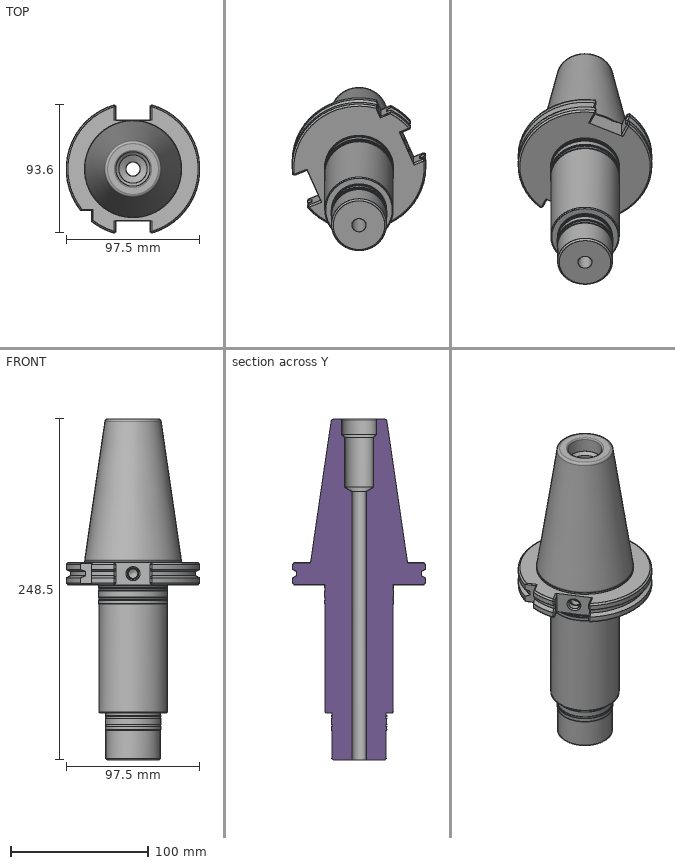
import cadquery as cq
import math

TOTAL_LENGTH = 248.5
FLANGE_TOP = 144.0
FLANGE_BOTTOM = 127.8
SHANK_BOTTOM = 34.3
FLANGE_HEIGHT = FLANGE_TOP - FLANGE_BOTTOM
FLANGE_MIDDLE = (FLANGE_TOP + FLANGE_BOTTOM) / 2

TAPER_SMALL_DIAMETER = 40.5
TAPER_RATIO = 7 / 24
TAPER_BOTTOM = 146.0
TAPER_TIP_RADIUS = 2.0
TAPER_LARGE_DIAMETER = TAPER_SMALL_DIAMETER + TAPER_RATIO * (TOTAL_LENGTH - TAPER_BOTTOM)
NECK_DIAMETER = 70.9
NECK_TOP = 145.2
FLANGE_DIAMETER = 97.5
FLANGE_CHAMFER = 1.2
SHANK_DIAMETER = 50.0
SHANK_CHAMFER = 0.7
NOSE_DIAMETER = 40.0
NOSE_CHAMFER = 1.2

GROOVE_MOUTH = 6.2
GROOVE_FLOOR = 3.0
GROOVE_DEPTH = 3.0

SHANK_COLLAR_DIAMETER = 50.5
SHANK_COLLAR_BOTTOM = 113.5
SHANK_COLLAR_TOP = 127.0
NOSE_COLLAR_DIAMETER = 40.5
NOSE_COLLAR_BOTTOM = 21.6
NOSE_COLLAR_TOP = 32.5
COLLAR_CHAMFER_HEIGHT = 0.5

SHANK_RING_HEIGHTS = (124.5, 117.5)
SHANK_RING_WIDTH = 2.5
SHANK_RING_FLANK = 0.7
NOSE_RING_HEIGHTS = (31.0, 25.4)
NOSE_RING_WIDTH = 1.5
NOSE_RING_FLANK = 0.0

SLOT_WIDTH = 25.0
SLOT_CHAMFER = 1.2
FRONT_SLOT_FLOOR = 37.8
BACK_SLOT_FLOOR = 35.5
NOTCH_OFFSET = 30.0
NOTCH_CHAMFER = 0.7

BORE_DIAMETER = 25.0
BORE_MOUTH_RADIUS = 1.0
BORE_DEPTH = 11.2
THREAD_DIAMETER = 20.6
THREAD_DEPTH = 49.7
THROUGH_DIAMETER = 10.2

SIDE_MOUTH_DIAMETER = 10.2
SIDE_THREAD_DIAMETER = 8.2
SIDE_THREAD_DEPTH = 5.0
SIDE_HOLE_DIAMETER = 7.0
SIDE_HOLE_DEPTH = 10.0

DRILL_POINT_ANGLE = 118.0
DRILL_POINT_SLOPE = 1 / math.tan(math.radians(DRILL_POINT_ANGLE / 2))

POINT_TOLERANCE = 0.02


def revolved(outline):
    return outline.close().revolve(360, (0, 0, 0), (0, 1, 0))


def collar_lower_end(collar_diameter, core_diameter, bottom):
    """Profile points of a chamfered step up from the core to the collar."""
    return [
        (core_diameter / 2, bottom),
        (collar_diameter / 2, bottom + COLLAR_CHAMFER_HEIGHT),
    ]


def body():
    tip_r = TAPER_SMALL_DIAMETER / 2
    large_r = TAPER_LARGE_DIAMETER / 2
    neck_r = NECK_DIAMETER / 2
    flange_r = FLANGE_DIAMETER / 2
    floor_r = flange_r - GROOVE_DEPTH
    shank_r = SHANK_DIAMETER / 2
    shank_collar_r = SHANK_COLLAR_DIAMETER / 2
    nose_r = NOSE_DIAMETER / 2
    nose_collar_r = NOSE_COLLAR_DIAMETER / 2
    profile = cq.Workplane("XZ").polyline([
        (0, 0),
        (nose_r - NOSE_CHAMFER, 0),
        (nose_r, NOSE_CHAMFER),
        *collar_lower_end(NOSE_COLLAR_DIAMETER, NOSE_DIAMETER, NOSE_COLLAR_BOTTOM),
        (nose_collar_r, NOSE_COLLAR_TOP),
        (nose_r, NOSE_COLLAR_TOP),
        (nose_r, SHANK_BOTTOM),
        (shank_r - SHANK_CHAMFER, SHANK_BOTTOM),
        (shank_r, SHANK_BOTTOM + SHANK_CHAMFER),
        *collar_lower_end(SHANK_COLLAR_DIAMETER, SHANK_DIAMETER, SHANK_COLLAR_BOTTOM),
        (shank_collar_r, SHANK_COLLAR_TOP),
        (shank_r, SHANK_COLLAR_TOP),
        (shank_r, FLANGE_BOTTOM),
        (flange_r - FLANGE_CHAMFER, FLANGE_BOTTOM),
        (flange_r, FLANGE_BOTTOM + FLANGE_CHAMFER),
        (flange_r, FLANGE_MIDDLE - GROOVE_MOUTH / 2),
        (floor_r, FLANGE_MIDDLE - GROOVE_FLOOR / 2),
        (floor_r, FLANGE_MIDDLE + GROOVE_FLOOR / 2),
        (flange_r, FLANGE_MIDDLE + GROOVE_MOUTH / 2),
        (flange_r, FLANGE_TOP - FLANGE_CHAMFER),
        (flange_r - FLANGE_CHAMFER, FLANGE_TOP),
        (neck_r, FLANGE_TOP),
        (neck_r, NECK_TOP),
        (large_r, NECK_TOP),
        (large_r, TAPER_BOTTOM),
        (tip_r, TOTAL_LENGTH),
        (0, TOTAL_LENGTH),
    ])
    return revolved(profile).faces(">Z").edges().fillet(TAPER_TIP_RADIUS)


def ring_groove(collar_diameter, core_diameter, middle, width, flank):
    """Ring that cuts a collar down to its core; flank is the height of each sloping side."""
    outer_r = collar_diameter / 2
    core_r = core_diameter / 2
    profile = cq.Workplane("XZ").polyline([
        (core_r, middle - width / 2 + flank),
        (outer_r, middle - width / 2),
        (outer_r, middle + width / 2),
        (core_r, middle + width / 2 - flank),
    ])
    return revolved(profile)


def with_drive_slot(flanged_body, side, floor):
    """Cut a slot on one side (+1 back, -1 front) and chamfer the outlines of its two walls."""
    length = FLANGE_DIAMETER / 2
    wall_middle = side * (floor + FLANGE_DIAMETER / 2 - GROOVE_DEPTH) / 2
    slot = cq.Workplane("XY").box(SLOT_WIDTH, length, FLANGE_HEIGHT)
    slotted = flanged_body.cut(slot.translate((0, side * (floor + length / 2), FLANGE_MIDDLE)))
    wall_edges = []
    for x in (-SLOT_WIDTH / 2, SLOT_WIDTH / 2):
        floor_corner = cq.Vector(x, side * floor, FLANGE_MIDDLE)
        nearest = cq.selectors.NearestToPointSelector((x, wall_middle, FLANGE_MIDDLE))
        wall = slotted.faces("|X").faces(nearest).val()
        wall_edges += [
            edge for edge in wall.Edges()
            if (edge.Center() - floor_corner).Length > POINT_TOLERANCE
        ]
    return slotted.newObject(wall_edges).chamfer(SLOT_CHAMFER)


def notch():
    """Square corner cutter that widens at the top and bottom faces of the flange."""
    size = FLANGE_DIAMETER / 2
    cutter = cq.Workplane("XY").rect(size, size).extrude(FLANGE_HEIGHT)
    wide = size + 2 * NOTCH_CHAMFER
    flare = cq.Workplane("XY").rect(wide, wide).workplane(offset=NOTCH_CHAMFER).rect(size, size).loft()
    cutter = cutter.union(flare).union(flare.mirror("XY").translate((0, 0, FLANGE_HEIGHT)))
    middle = -NOTCH_OFFSET - size / 2
    return cutter.translate((middle, middle, FLANGE_BOTTOM))


def bore():
    bore_r = BORE_DIAMETER / 2
    thread_r = THREAD_DIAMETER / 2
    hole_r = THROUGH_DIAMETER / 2
    bore_floor = TOTAL_LENGTH - BORE_DEPTH
    thread_floor = TOTAL_LENGTH - THREAD_DEPTH
    return revolved(cq.Workplane("XZ").polyline([
        (0, 0),
        (hole_r, 0),
        (hole_r, thread_floor - (thread_r - hole_r) * DRILL_POINT_SLOPE),
        (thread_r, thread_floor),
        (thread_r, bore_floor - (bore_r - thread_r)),
        (bore_r, bore_floor),
        (bore_r, TOTAL_LENGTH),
        (0, TOTAL_LENGTH),
    ]))


def side_hole():
    mouth_r = SIDE_MOUTH_DIAMETER / 2
    thread_r = SIDE_THREAD_DIAMETER / 2
    hole_r = SIDE_HOLE_DIAMETER / 2
    hole = revolved(cq.Workplane("XZ").polyline([
        (0, 0),
        (mouth_r, 0),
        (thread_r, -(mouth_r - thread_r)),
        (thread_r, -SIDE_THREAD_DEPTH),
        (hole_r, -SIDE_THREAD_DEPTH),
        (hole_r, -SIDE_HOLE_DEPTH),
        (0, -SIDE_HOLE_DEPTH - hole_r * DRILL_POINT_SLOPE),
    ]))
    return hole.rotate((0, 0, 0), (1, 0, 0), 90).translate((0, -FRONT_SLOT_FLOOR, FLANGE_MIDDLE))


def with_ring_grooves(turned_body):
    for height in SHANK_RING_HEIGHTS:
        turned_body = turned_body.cut(ring_groove(
            SHANK_COLLAR_DIAMETER, SHANK_DIAMETER, height, SHANK_RING_WIDTH, SHANK_RING_FLANK))
    for height in NOSE_RING_HEIGHTS:
        turned_body = turned_body.cut(ring_groove(
            NOSE_COLLAR_DIAMETER, NOSE_DIAMETER, height, NOSE_RING_WIDTH, NOSE_RING_FLANK))
    return turned_body


result = with_ring_grooves(body())
result = with_drive_slot(result, -1, FRONT_SLOT_FLOOR)
result = with_drive_slot(result, 1, BACK_SLOT_FLOOR)
result = result.cut(notch()).cut(side_hole()).cut(bore())
result = result.faces(">Z").edges(cq.selectors.RadiusNthSelector(0)).fillet(BORE_MOUTH_RADIUS)